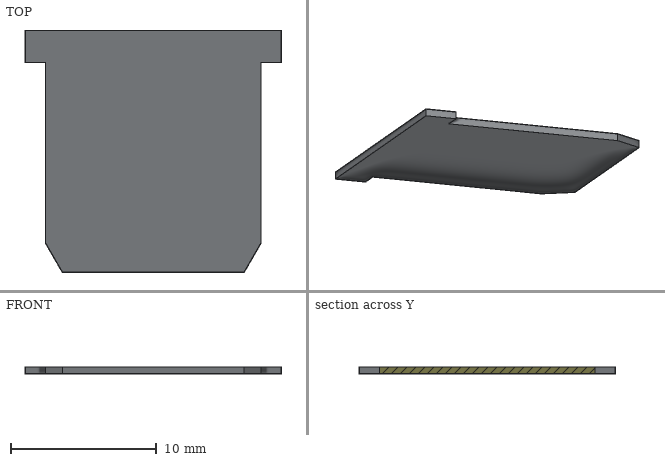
import cadquery as cq
import math

head_width = 17.6
total_length = 16.6
thickness = 0.5

head_length = 2.2
body_width = 14.8

taper_length = 2.0
taper_angle = 30.0
taper_inset = taper_length * math.tan(math.radians(taper_angle))

half_head = head_width / 2
half_body = body_width / 2
half_tip = half_body - taper_inset
head_end_y = total_length / 2
shoulder_y = head_end_y - head_length
tip_y = -total_length / 2
taper_start_y = tip_y + taper_length

right_side = [
    (half_tip, tip_y),
    (half_body, taper_start_y),
    (half_body, shoulder_y),
    (half_head, shoulder_y),
    (half_head, head_end_y),
]
left_side = [(-x, y) for x, y in reversed(right_side)]

result = (
    cq.Workplane("XY")
    .workplane(offset=-thickness / 2)
    .polyline(right_side + left_side)
    .close()
    .extrude(thickness)
)